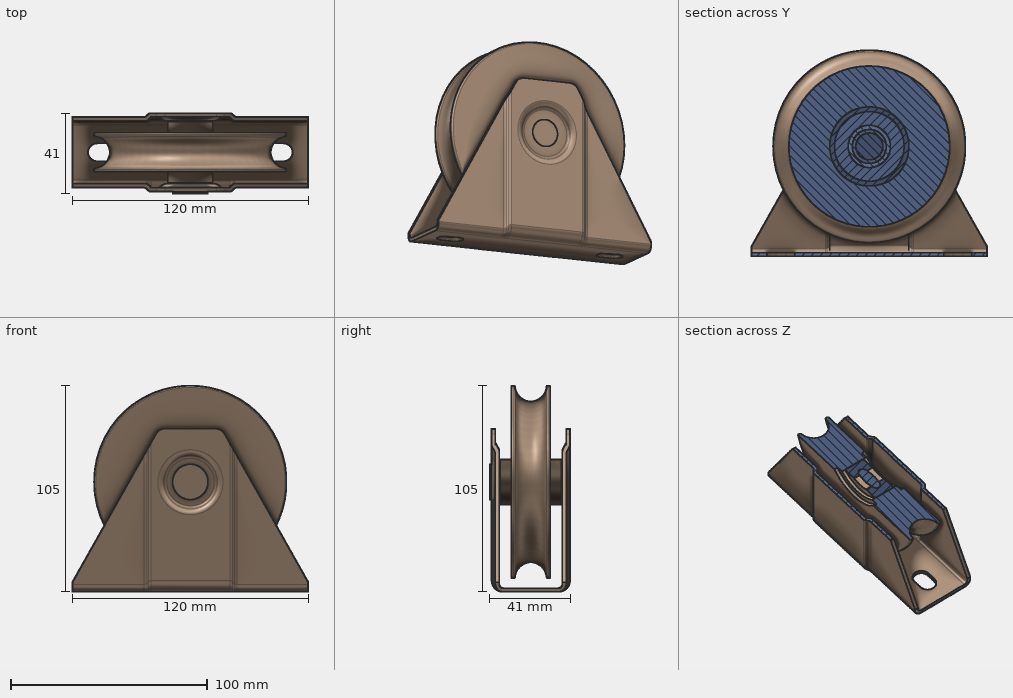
import cadquery as cq
import math


sheet = 2.0
base_length = 120.0
plate_height = 83.0
flank_half_width = 18.0
flank_bend_radius = 4.0
plate_top_half_length = 16.0
edge_foot_height = 5.0
plate_corner_radius = 5.0

panel_half_length = 20.0
joggle_depth = 2.0
joggle_angle = math.radians(45)
joggle_radius = 2.0
joggle_inner_radius = 1.0
joggle_arc_steps = 2

slot_width = 9.0
slot_length = 14.0
slot_centre_x = 45.0

axle_height = 56.0
dimple_rim_radius = 33.1 / 2
dimple_depth = 2.0
dimple_angle = math.radians(45)
dimple_rim_bend = 4.0
dimple_floor_bend = 2.0

wheel_radius = 98.0 / 2
wheel_width = 20.0
groove_radius = 8.0
rim_fillet = 0.75
recess_radius = 45.0 / 2
recess_depth = 2.0

bearing_radius = 40.0 / 2
bearing_width = 12.0
outer_ring_bore_radius = 33.1 / 2
inner_ring_radius = 23.9 / 2
race_tube_radius = 6.75 / 2
bearing_bore_radius = 17.0 / 2
bushing_radius = 23.0 / 2
bushing_chamfer = 0.5
pin_radius = 14.0 / 2
pin_head_radius = 18.0 / 2
pin_head_height = 3.0

panel_half_width = flank_half_width + joggle_depth
floor_outer_y = panel_half_width - dimple_depth
floor_inner_y = floor_outer_y - sheet
bearing_half_width = bearing_width / 2
race_centre_radius = (outer_ring_bore_radius + inner_ring_radius) / 2


def revolve_about_axle(profile):
    """Turn an (axial, radial) profile about the axle; axial positions run along +Y."""
    turned = profile.close().revolve(360, (0, 0, 0), (1, 0, 0))
    return turned.rotate((0, 0, 0), (0, 0, 1), 90).translate((0, 0, axle_height))


def axle_ring(start_y, end_y, outer_radius, inner_radius=0.0):
    profile = (
        cq.Workplane("XY")
        .moveTo(start_y, inner_radius)
        .lineTo(end_y, inner_radius)
        .lineTo(end_y, outer_radius)
        .lineTo(start_y, outer_radius)
    )
    return revolve_about_axle(profile)


def mirror_y(body):
    return body.mirror("XZ")


def channel_section(x, half_width, corner_radius, bottom):
    """Cross-section wire of a round-bottomed block, in the YZ plane at the given x."""
    corner_y = half_width - corner_radius
    corner_z = bottom + corner_radius
    arc_reach = corner_radius * math.sqrt(0.5)
    return (
        cq.Workplane("YZ", origin=(x, 0, 0))
        .moveTo(-half_width, plate_height)
        .lineTo(-half_width, corner_z)
        .threePointArc((-corner_y - arc_reach, corner_z - arc_reach), (-corner_y, bottom))
        .lineTo(corner_y, bottom)
        .threePointArc((corner_y + arc_reach, corner_z - arc_reach), (half_width, corner_z))
        .lineTo(half_width, plate_height)
        .close()
        .val()
    )


def channel_block(stations, inset):
    """Loft through (x, stand-out) stations; inset 0 gives the outer skin, the sheet thickness the inner."""
    wires = []
    for x, stand_out in stations:
        half_width = flank_half_width + stand_out - inset
        corner_radius = flank_bend_radius + stand_out - inset
        wires.append(channel_section(x, half_width, corner_radius, inset))
    return cq.Workplane(cq.Solid.makeLoft(wires, len(wires) == 2))


def bend_stations(tangent_x, flat_stand_out, radius, side):
    """Stations along a joggle bend; side is +1 towards the flank and -1 towards the centre panel."""
    stations = []
    for step in range(joggle_arc_steps + 1):
        angle = joggle_angle * step / joggle_arc_steps
        x = tangent_x - side * radius * math.sin(angle)
        stand_out = flat_stand_out + side * radius * (1 - math.cos(angle))
        stations.append((x, stand_out))
    return stations[::-1] if side > 0 else stations


bend_drop = joggle_radius * (1 - math.cos(joggle_angle))
joggle_ramp = (joggle_depth - 2 * bend_drop) / math.tan(joggle_angle)
joggle_end_x = panel_half_length + 2 * joggle_radius * math.sin(joggle_angle) + joggle_ramp

half_angle_tangent = math.tan(joggle_angle / 2)
inner_corner_x = joggle_end_x - (joggle_radius + sheet) * half_angle_tangent
inner_joggle_end_x = inner_corner_x + joggle_inner_radius * half_angle_tangent


def channel_solid(inset, panel_bend, flank_bend):
    """Round-bottomed block spanning the base: centre panel, joggles and flanks."""
    panel = [(0, joggle_depth), (panel_half_length, joggle_depth)]
    ramp = [panel_bend[-1], flank_bend[0]]
    flank = [flank_bend[-1], (base_length / 2, 0)]
    half = channel_block(panel, inset)
    for stretch in (panel_bend, ramp, flank_bend, flank):
        if len(stretch) > 1:
            half = half.union(channel_block(stretch, inset))
    return half.union(half.mirror("YZ"))


def plate_outline():
    """Side-view outline of the plates, as a prism spanning the bracket width."""
    half_length = base_length / 2
    return (
        cq.Workplane("XZ")
        .moveTo(-half_length, 0)
        .lineTo(half_length, 0)
        .lineTo(half_length, edge_foot_height)
        .lineTo(plate_top_half_length, plate_height)
        .lineTo(-plate_top_half_length, plate_height)
        .lineTo(-half_length, edge_foot_height)
        .close()
        .extrude(panel_half_width, both=True)
        .edges("|Y and >Z")
        .fillet(plate_corner_radius)
    )


def dimple_profile(rim_bend, floor_bend, rim_y, floor_y):
    """Dished profile from the rim down to the floor, closed along the axle."""
    sine = math.sin(dimple_angle)
    cosine = math.cos(dimple_angle)
    half_sine = math.sin(dimple_angle / 2)
    half_cosine = math.cos(dimple_angle / 2)
    rim_end = (rim_y - rim_bend * (1 - cosine), dimple_rim_radius - rim_bend * sine)
    floor_start_y = floor_y + floor_bend * (1 - cosine)
    wall_run = (rim_end[0] - floor_start_y) / math.tan(dimple_angle)
    floor_start = (floor_start_y, rim_end[1] - wall_run)
    floor_edge_radius = floor_start[1] - floor_bend * sine
    rim_mid = (rim_y - rim_bend * (1 - half_cosine), dimple_rim_radius - rim_bend * half_sine)
    floor_mid = (floor_y + floor_bend * (1 - half_cosine), floor_edge_radius + floor_bend * half_sine)
    return (
        cq.Workplane("XY")
        .moveTo(rim_y, 0)
        .lineTo(rim_y, dimple_rim_radius)
        .threePointArc(rim_mid, rim_end)
        .lineTo(*floor_start)
        .threePointArc(floor_mid, (floor_y, floor_edge_radius))
        .lineTo(floor_y, 0)
    )


def dimple_tools():
    """Solids that fill the dished sheet behind the dimple and clear the hollow in front of it."""
    dished = dimple_profile(
        dimple_rim_bend - sheet, dimple_floor_bend + sheet, panel_half_width - sheet, floor_inner_y
    )
    hollow = dimple_profile(dimple_rim_bend, dimple_floor_bend, panel_half_width, floor_outer_y)
    return revolve_about_axle(dished), revolve_about_axle(hollow)


def make_bracket():
    outer_panel_bend = bend_stations(panel_half_length, joggle_depth, joggle_radius, -1)
    outer_flank_bend = bend_stations(joggle_end_x, 0, joggle_radius, 1)
    outer = channel_solid(0, outer_panel_bend, outer_flank_bend)
    inner_panel_bend = [(panel_half_length, joggle_depth)]
    inner_flank_bend = bend_stations(inner_joggle_end_x, 0, joggle_inner_radius, 1)
    inner = channel_solid(sheet, inner_panel_bend, inner_flank_bend)
    bracket = outer.cut(inner).intersect(plate_outline())

    dished, hollow = dimple_tools()
    bracket = bracket.union(dished).union(mirror_y(dished))
    bracket = bracket.cut(hollow).cut(mirror_y(hollow))
    pin_hole = axle_ring(-panel_half_width, panel_half_width, pin_radius)
    slots = (
        cq.Workplane("XY")
        .pushPoints([(-slot_centre_x, 0), (slot_centre_x, 0)])
        .slot2D(slot_length, slot_width)
        .extrude(sheet)
    )
    return bracket.cut(pin_hole).cut(slots)


def make_wheel():
    half_width = wheel_width / 2
    wheel = axle_ring(-half_width, half_width, wheel_radius, bearing_radius)
    groove = revolve_about_axle(
        cq.Workplane("XY")
        .moveTo(-groove_radius, wheel_radius)
        .threePointArc((0, wheel_radius - groove_radius), (groove_radius, wheel_radius))
    )
    wheel = wheel.cut(groove)
    rim_edges = cq.selectors.RadiusNthSelector(-1)
    wheel = wheel.edges(rim_edges).fillet(rim_fillet)
    recess = axle_ring(half_width - recess_depth, half_width, recess_radius)
    return wheel.cut(recess).cut(mirror_y(recess))


def make_rolling_ring():
    axle_centre = cq.Vector(0, 0, axle_height)
    axle_direction = cq.Vector(0, 1, 0)
    torus = cq.Solid.makeTorus(race_centre_radius, race_tube_radius, axle_centre, axle_direction)
    return cq.Workplane(torus)


def make_bearing_ring(outer_radius, inner_radius):
    ring = axle_ring(-bearing_half_width, bearing_half_width, outer_radius, inner_radius)
    return ring.cut(make_rolling_ring())


def make_bushing():
    flange = axle_ring(bearing_half_width, floor_inner_y, bushing_radius, pin_radius)
    flange = flange.faces(">Y").edges(cq.selectors.RadiusNthSelector(-1)).chamfer(bushing_chamfer)
    neck = axle_ring(0, bearing_half_width, bearing_bore_radius, pin_radius)
    return flange.union(neck)


def make_pin():
    shaft = axle_ring(-floor_outer_y, floor_outer_y, pin_radius)
    head = axle_ring(-floor_outer_y - pin_head_height, -floor_outer_y, pin_head_radius)
    return shaft.union(head)


bracket = make_bracket()
wheel = make_wheel()
outer_ring = make_bearing_ring(bearing_radius, outer_ring_bore_radius)
inner_ring = make_bearing_ring(inner_ring_radius, bearing_bore_radius)
rolling_ring = make_rolling_ring()
pin = make_pin()
bushing = make_bushing()
bushings = [bushing, mirror_y(bushing)]

result = cq.Compound.makeCompound(
    [
        bracket.val(),
        wheel.val(),
        outer_ring.val(),
        inner_ring.val(),
        rolling_ring.val(),
        pin.val(),
        *[body.val() for body in bushings],
    ]
)